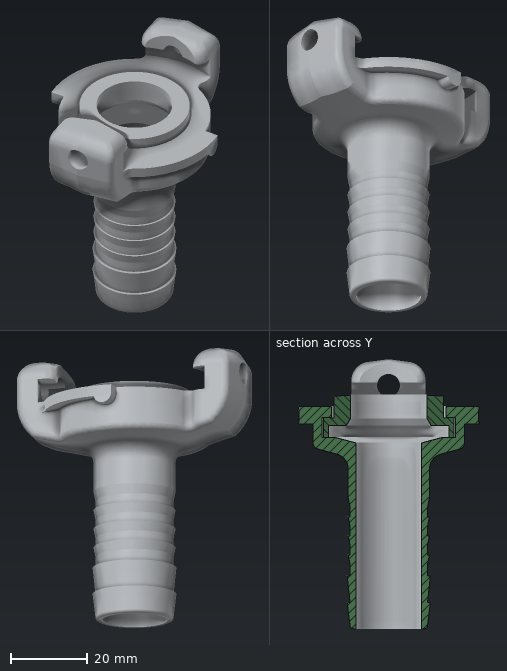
import cadquery as cq
import math

OVERALL_HEIGHT = 70.78
FLANGE_TOP = 58.45
LIP_THICKNESS = 2.8
HOOK_UNDERSIDE = 64.7
LEG_BEND_START = 58.9
PIN_HOLE_HEIGHT = 63.9

TAIL_ROOT_RADIUS = 20.5 / 2
TAIL_RADIUS = 21.5 / 2
BARB_RADIUS = 11.0
BARB_LENGTH = 7.0
BARB_COUNT = 2
TAIL_END_ROUND = 0.9
RING_START = 17.0
RING_LENGTH = 2.5
RING_PITCH = 2 * RING_LENGTH
RING_COUNT = 4
TAIL_ROUND = 4.0

FLANGE_RADIUS = 20.0
CONE_ANGLE = math.radians(15)
CONE_SLOPE = math.tan(CONE_ANGLE)
CONE_RIM_HEIGHT = 47.55
LIP_RADIUS = 47.5 / 2
LIP_CORNER_ROUND = 2.5
WEB_ROUND = 3.0
STOP_RADIUS = 2.5
STOP_HEIGHT = 56.3

CLAW_REACH = 31.0
CLAW_HALF_WIDTH = 19.5 / 2
CLAW_SLOPE = math.tan(math.radians(7.5))
LEG_BEND_RADIUS = 12.0
LEG_INNER_RADIUS = 25.45
HOOK_TIP = 18.3
HOOK_BORE_RADIUS = 20.75
HOOK_TOP_ROUND = 5.0
HOOK_TIP_ROUND = 3.0
BODY_EDGE_ROUND = 1.8
PIN_HOLE_DIAMETER = 6.0
NOTCH_START = 22.6
NOTCH_LEG_ROUND = 4.0
NOTCH_RIM_ROUND = 2.0

BORE_RADIUS = 17 / 2
GROOVE_RADIUS = 35 / 2
GROOVE_MOUTH_RADIUS = 30 / 2
GROOVE_FLOOR = 50.3
GROOVE_CEILING = 55.5
FUNNEL_RADIUS = 13.8

SEAL_BORE_RADIUS = 20 / 2
SEAL_NECK_RADIUS = 29 / 2
SEAL_FOOT_RADIUS = 34.5 / 2
SEAL_FOOT_INNER_RADIUS = 15.75
SEAL_SHOULDER_HEIGHT = 61.2
SEAL_FACE_SLOPE = math.tan(math.radians(3.5))
SEAL_BORE_LENGTH = 6.2
SEAL_LIP_RADIUS = 11.15
SEAL_LIP_LENGTH = 1.9

CLEAR = 2 * CLAW_REACH
TOLERANCE = 0.01


def cone_height(radius):
    return CONE_RIM_HEIGHT - (FLANGE_RADIUS - radius) * CONE_SLOPE


def revolve(profile):
    return profile.close().revolve(360, (0, 0, 0), (0, 1, 0))


def half_turn(part):
    return part.rotate((0, 0, 0), (0, 0, 1), 180)


def arc_meeting(rim_radius, corner_round):
    """Points where a concave round touches the flange rim and the -X side of the +Y leg."""
    center_x = CLAW_HALF_WIDTH + corner_round
    center_y = math.sqrt((rim_radius + corner_round) ** 2 - center_x**2)
    scale = rim_radius / (rim_radius + corner_round)
    return (-center_x * scale, center_y * scale), (-CLAW_HALF_WIDTH, center_y)


def notch_points():
    """Points where the two tangent notch rounds touch each other and the flange rim."""
    leg_center = cq.Vector(CLAW_HALF_WIDTH - NOTCH_LEG_ROUND, NOTCH_START)
    rim_distance = FLANGE_RADIUS + NOTCH_RIM_ROUND
    leg_distance = NOTCH_LEG_ROUND + NOTCH_RIM_ROUND
    along = (rim_distance**2 - leg_distance**2 + leg_center.Length**2) / (2 * leg_center.Length)
    across = math.sqrt(rim_distance**2 - along**2)
    outward = leg_center.normalized()
    rim_center = outward * along + cq.Vector(outward.y, -outward.x) * across
    joint = leg_center + (rim_center - leg_center) * (NOTCH_LEG_ROUND / leg_distance)
    touch = rim_center * (FLANGE_RADIUS / rim_distance)
    return joint, touch


def make_plan_prism():
    """Flange disc and both legs in plan, with the webs and notches where they join."""
    web_rim, web_leg = arc_meeting(FLANGE_RADIUS, WEB_ROUND)
    joint, touch = notch_points()
    plan = cq.Workplane("XY").moveTo(-touch.x, -touch.y)
    for turn in (1, -1):
        plan = (
            plan.radiusArc((turn * web_rim[0], turn * web_rim[1]), FLANGE_RADIUS)
            .radiusArc((turn * web_leg[0], turn * web_leg[1]), -WEB_ROUND)
            .lineTo(-turn * CLAW_HALF_WIDTH, turn * CLEAR)
            .lineTo(turn * CLAW_HALF_WIDTH, turn * CLEAR)
            .lineTo(turn * CLAW_HALF_WIDTH, turn * NOTCH_START)
            .radiusArc((turn * joint.x, turn * joint.y), NOTCH_LEG_ROUND)
            .radiusArc((turn * touch.x, turn * touch.y), -NOTCH_RIM_ROUND)
        )
    return plan.close().extrude(OVERALL_HEIGHT)


def make_leg_envelope():
    """Space inside the bent outer face of the +Y leg."""
    bend_y = CLAW_REACH - LEG_BEND_RADIUS
    profile = (
        cq.Workplane("YZ")
        .moveTo(-CLEAR, 0)
        .lineTo(bend_y, 0)
        .lineTo(bend_y, LEG_BEND_START - LEG_BEND_RADIUS)
        .radiusArc((CLAW_REACH, LEG_BEND_START), -LEG_BEND_RADIUS)
        .lineTo(CLAW_REACH, CLEAR + OVERALL_HEIGHT)
        .lineTo(-CLEAR, CLEAR + OVERALL_HEIGHT)
        .close()
        .val()
    )
    fall = LIP_RADIUS * CLAW_SLOPE
    halves = []
    for side in (-1, 1):
        sweep = cq.Vector(side * LIP_RADIUS, -fall, 0)
        halves.append(cq.Workplane(cq.Solid.extrudeLinear(profile, [], sweep)))
    return halves[0].union(halves[1])


def make_cone_space():
    """Space above the underside cone of the flange."""
    return revolve(
        cq.Workplane("XZ")
        .moveTo(0, cone_height(0))
        .lineTo(CLEAR, cone_height(CLEAR))
        .lineTo(CLEAR, OVERALL_HEIGHT)
        .lineTo(0, OVERALL_HEIGHT)
    )


def make_roof_space():
    """Space below the ridged roof of both claws."""
    eave = OVERALL_HEIGHT - LIP_RADIUS * CLAW_SLOPE
    return (
        cq.Workplane("XZ")
        .moveTo(-LIP_RADIUS, 0)
        .lineTo(LIP_RADIUS, 0)
        .lineTo(LIP_RADIUS, eave)
        .lineTo(0, OVERALL_HEIGHT)
        .lineTo(-LIP_RADIUS, eave)
        .close()
        .extrude(CLEAR, both=True)
    )


def make_hook():
    """Blank for the overhang of the +Y claw, from its leg to its bent tip, deeper than the hook."""
    tip_side = HOOK_TIP + CLAW_HALF_WIDTH * CLAW_SLOPE
    root = LEG_INNER_RADIUS + TOLERANCE
    return (
        cq.Workplane("XY")
        .workplane(offset=LEG_BEND_START)
        .moveTo(-CLAW_HALF_WIDTH, root)
        .lineTo(-CLAW_HALF_WIDTH, tip_side)
        .lineTo(0, HOOK_TIP)
        .lineTo(CLAW_HALF_WIDTH, tip_side)
        .lineTo(CLAW_HALF_WIDTH, root)
        .close()
        .extrude(CLEAR)
    )


def is_roof_edge(edge):
    lowest = min(edge.startPoint().z, edge.endPoint().z)
    on_ridge = abs(edge.Center().x) < TOLERANCE
    return lowest > OVERALL_HEIGHT - HOOK_TOP_ROUND and not on_ridge


def is_hook_tip_corner(edge):
    at_side = abs(abs(edge.Center().x) - CLAW_HALF_WIDTH) < TOLERANCE
    return at_side and abs(edge.Center().y) < HOOK_BORE_RADIUS and edge.Center().z > LEG_BEND_START


def is_leg_outer_corner(edge):
    at_side = abs(abs(edge.Center().x) - CLAW_HALF_WIDTH) < TOLERANCE
    return at_side and abs(edge.Center().y) > LEG_INNER_RADIUS and edge.Center().z > LEG_BEND_START


def is_flange_bottom_rim(edge):
    return edge.geomType() == "CIRCLE" and abs(edge.Center().z - CONE_RIM_HEIGHT) < TOLERANCE


def make_flange_and_claws():
    leg_envelope = make_leg_envelope()
    body = make_plan_prism().intersect(leg_envelope).intersect(half_turn(leg_envelope))
    body = body.intersect(make_cone_space())
    space_between_legs = (
        cq.Workplane("XY").workplane(offset=FLANGE_TOP).circle(LEG_INNER_RADIUS).extrude(CLEAR)
    )
    body = body.cut(space_between_legs)
    hook = make_hook()
    body = body.union(hook).union(half_turn(hook)).intersect(make_roof_space())

    body = body.edges().filter(is_roof_edge).fillet(HOOK_TOP_ROUND)
    body = body.edges("|Z").filter(is_hook_tip_corner).fillet(HOOK_TIP_ROUND)
    outer_edges = body.edges().filter(lambda edge: is_flange_bottom_rim(edge) or is_leg_outer_corner(edge))
    body = outer_edges.fillet(BODY_EDGE_ROUND)

    hook_gap = (
        cq.Workplane("XY")
        .workplane(offset=FLANGE_TOP)
        .circle(LEG_INNER_RADIUS)
        .extrude(HOOK_UNDERSIDE - FLANGE_TOP)
    )
    hook_bore = cq.Workplane("XY").workplane(offset=FLANGE_TOP).circle(HOOK_BORE_RADIUS).extrude(CLEAR)
    pin_holes = (
        cq.Workplane("XZ")
        .center(0, PIN_HOLE_HEIGHT)
        .circle(PIN_HOLE_DIAMETER / 2)
        .extrude(CLEAR, both=True)
    )
    return body.cut(hook_gap).cut(hook_bore).cut(pin_holes)


def make_lip():
    """Locking lip beside the +Y claw, with a half-round stop under its free end."""
    lip_rim, lip_leg = arc_meeting(LIP_RADIUS, LIP_CORNER_ROUND)
    free_end_x = -math.sqrt(LIP_RADIUS**2 - STOP_RADIUS**2)
    inner_x = -CLAW_HALF_WIDTH / 2
    sector = (
        cq.Workplane("XY")
        .moveTo(free_end_x, -STOP_RADIUS)
        .radiusArc(lip_rim, LIP_RADIUS)
        .radiusArc(lip_leg, -LIP_CORNER_ROUND)
        .lineTo(inner_x, lip_leg[1])
        .lineTo(inner_x, -STOP_RADIUS)
        .close()
        .extrude(FLANGE_TOP)
    )
    lip_bottom = FLANGE_TOP - LIP_THICKNESS
    stop_end = math.sqrt(STOP_RADIUS**2 - (STOP_HEIGHT - lip_bottom) ** 2)
    side_profile = (
        cq.Workplane("YZ")
        .moveTo(-STOP_RADIUS, FLANGE_TOP)
        .lineTo(-STOP_RADIUS, STOP_HEIGHT)
        .radiusArc((stop_end, lip_bottom), -STOP_RADIUS)
        .lineTo(CLEAR, lip_bottom)
        .lineTo(CLEAR, FLANGE_TOP)
        .close()
        .extrude(-CLEAR)
    )
    return sector.intersect(side_profile)


def make_tail():
    """Barbed hose tail, flaring into the underside cone."""
    tail = (
        cq.Workplane("XZ")
        .lineTo(TAIL_ROOT_RADIUS - TAIL_END_ROUND, 0)
        .radiusArc((TAIL_ROOT_RADIUS, TAIL_END_ROUND), -TAIL_END_ROUND)
    )
    for barb in range(BARB_COUNT):
        barb_top = (barb + 1) * BARB_LENGTH
        tail = tail.lineTo(BARB_RADIUS, barb_top).lineTo(TAIL_ROOT_RADIUS, barb_top)
    for ring in range(RING_COUNT):
        ring_bottom = RING_START + ring * RING_PITCH
        ring_top = ring_bottom + RING_LENGTH
        tail = tail.lineTo(TAIL_ROOT_RADIUS, ring_bottom).lineTo(TAIL_RADIUS, ring_top)
        if ring < RING_COUNT - 1:
            tail = tail.lineTo(TAIL_ROOT_RADIUS, ring_top)
    tangent_length = TAIL_ROUND * math.tan((math.pi / 2 - CONE_ANGLE) / 2)
    flare_radius = TAIL_RADIUS + tangent_length * math.cos(CONE_ANGLE)
    tail = (
        tail.lineTo(TAIL_RADIUS, cone_height(TAIL_RADIUS) - tangent_length)
        .radiusArc((flare_radius, cone_height(flare_radius)), TAIL_ROUND)
        .lineTo(flare_radius, GROOVE_FLOOR)
        .lineTo(0, GROOVE_FLOOR)
    )
    return revolve(tail)


def make_cavity():
    """Through bore, funnel and undercut seal groove."""
    throat_height = GROOVE_FLOOR - (FUNNEL_RADIUS - BORE_RADIUS) * CONE_SLOPE
    return revolve(
        cq.Workplane("XZ")
        .lineTo(BORE_RADIUS, 0)
        .lineTo(BORE_RADIUS, throat_height)
        .lineTo(FUNNEL_RADIUS, GROOVE_FLOOR)
        .lineTo(GROOVE_RADIUS, GROOVE_FLOOR)
        .lineTo(GROOVE_RADIUS, GROOVE_CEILING)
        .lineTo(GROOVE_MOUTH_RADIUS, GROOVE_CEILING)
        .lineTo(GROOVE_MOUTH_RADIUS, FLANGE_TOP)
        .lineTo(0, FLANGE_TOP)
    )


def make_coupling():
    lip = make_lip()
    body = make_flange_and_claws().union(lip).union(half_turn(lip))
    return body.union(make_tail()).cut(make_cavity())


def make_seal():
    """Ring seal: foot held in the groove, neck above it and a flared lip inside."""
    face_drop = (SEAL_NECK_RADIUS - SEAL_BORE_RADIUS) * SEAL_FACE_SLOPE
    bore_top = SEAL_SHOULDER_HEIGHT + face_drop
    bore_end = bore_top - SEAL_BORE_LENGTH
    lip_end = bore_end - SEAL_LIP_LENGTH
    return revolve(
        cq.Workplane("XZ")
        .moveTo(SEAL_BORE_RADIUS, bore_top)
        .lineTo(SEAL_NECK_RADIUS, SEAL_SHOULDER_HEIGHT)
        .lineTo(SEAL_NECK_RADIUS, GROOVE_CEILING)
        .lineTo(SEAL_FOOT_RADIUS, GROOVE_CEILING)
        .lineTo(SEAL_FOOT_RADIUS, GROOVE_FLOOR)
        .lineTo(SEAL_FOOT_INNER_RADIUS, GROOVE_FLOOR)
        .lineTo(SEAL_FOOT_INNER_RADIUS, lip_end)
        .lineTo(SEAL_LIP_RADIUS, lip_end)
        .lineTo(SEAL_BORE_RADIUS, bore_end)
    )


coupling = make_coupling()
seal = make_seal()

result = cq.Compound.makeCompound([coupling.val(), seal.val()])